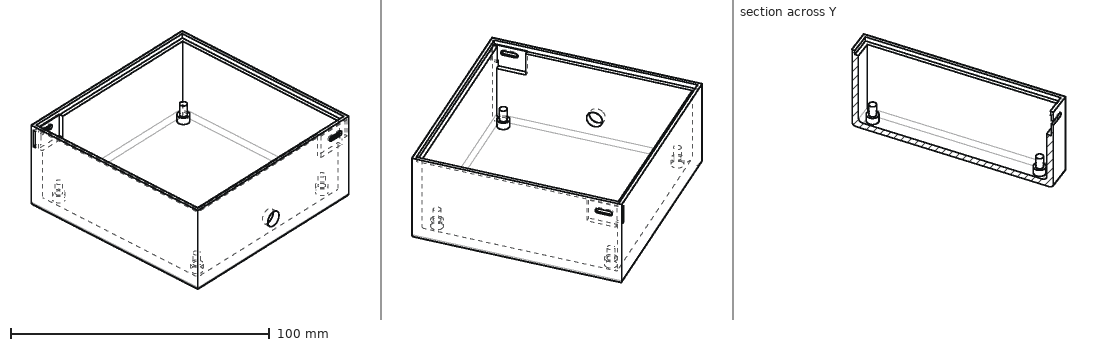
import cadquery as cq

side = 87.0
height = 38.0
wall = 3.0
floor = 3.0
bottom_edge_radius = 2.0
floor_edge_radius = 1.8

rim_wall = 1.4
rebate_depth = 2.0

standoff_spacing = 72.0
standoff_diameter = 5.0
standoff_height = 3.0
pin_diameter = 3.0
pin_height = 5.0

latch_skin = 1.0
latch_top_gap = 2.0
recess_height = 10.0
slit_height = 7.5
latch_end = 15.0
slit_width = 1.2

window_length = 7.0
window_height = 2.0
window_from_end = 7.5
window_from_top = 5.5

cable_hole_diameter = 6.5
cable_hole_y = 0.0
cable_hole_z = 12.0

half = side / 2
inner_side = side - 2 * wall


def make_shell():
    """Square box with rounded bottom edges, rounded cavity floor and stepped rim."""
    body = cq.Workplane("XY").box(side, side, height, centered=(True, True, False))
    body = body.faces("<Z").edges().fillet(bottom_edge_radius)
    cavity = (
        cq.Workplane("XY")
        .workplane(offset=floor)
        .box(inner_side, inner_side, height - floor, centered=(True, True, False))
        .faces("<Z")
        .edges()
        .fillet(floor_edge_radius)
    )
    rebate_side = side - 2 * rim_wall
    rebate = (
        cq.Workplane("XY")
        .workplane(offset=height - rebate_depth)
        .box(rebate_side, rebate_side, rebate_depth, centered=(True, True, False))
    )
    return body.cut(cavity).cut(rebate)


def make_standoffs():
    """Four stepped standoffs rising from the floor near the corners."""
    base = (
        cq.Workplane("XY")
        .workplane(offset=floor)
        .rect(standoff_spacing, standoff_spacing, forConstruction=True)
        .vertices()
    )
    posts = base.circle(standoff_diameter / 2).extrude(standoff_height)
    pins = base.circle(pin_diameter / 2).extrude(standoff_height + pin_height)
    return posts.union(pins)


def make_latch_cutter():
    """Recess, end slit and window for the latch at the -X, -Y corner."""
    latch_top = height - latch_top_gap
    recess = cq.Workplane("XY").box(wall - latch_skin, latch_end - wall, recess_height, centered=False)
    recess = recess.translate((-half + latch_skin, -half + wall, latch_top - recess_height))
    slit = cq.Workplane("XY").box(slit_width, wall, slit_height, centered=False)
    slit = slit.translate((-half + latch_skin, -half, latch_top - slit_height))
    window = (
        cq.Workplane("YZ")
        .workplane(offset=-half)
        .center(-half + window_from_end, height - window_from_top)
        .slot2D(window_length, window_height)
        .extrude(wall)
    )
    return recess.union(slit).union(window)


def make_cable_hole():
    """Round hole through the +X wall."""
    return (
        cq.Workplane("YZ")
        .workplane(offset=half - wall)
        .center(cable_hole_y, cable_hole_z)
        .circle(cable_hole_diameter / 2)
        .extrude(wall)
    )


result = make_shell().union(make_standoffs())
latch_cutter = make_latch_cutter()
for turn in (0, 180):
    result = result.cut(latch_cutter.rotate((0, 0, 0), (0, 0, 1), turn))
result = result.cut(make_cable_hole())